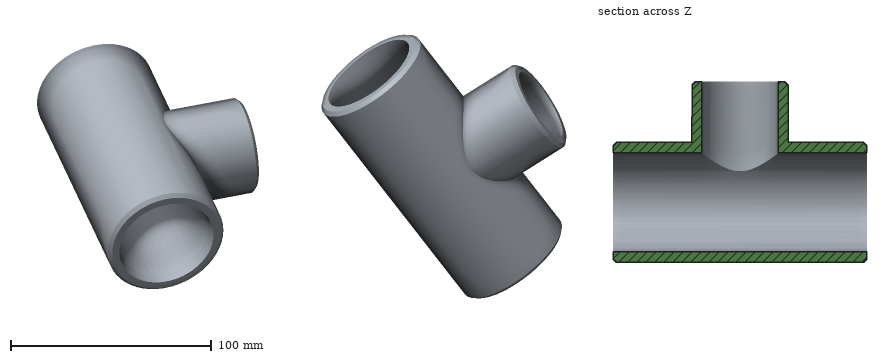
import cadquery as cq

run_length = 127.0
run_diameter = 60.33
run_wall = 5.54
branch_diameter = 48.26
branch_wall = 5.08
branch_reach = 60.445
bevel = 1.8

run_bore = run_diameter - 2 * run_wall
branch_bore = branch_diameter - 2 * branch_wall


def run_cylinder(diameter):
    """Cylinder along X, centred on the origin, over the full run length."""
    return cq.Workplane("YZ").circle(diameter / 2).extrude(run_length / 2, both=True)


def branch_cylinder(diameter):
    """Cylinder along +Y from the run axis to the branch end face."""
    return cq.Workplane("XZ").circle(diameter / 2).extrude(-branch_reach)


run_body = run_cylinder(run_diameter).faces("<X or >X").edges().chamfer(bevel)
branch_body = branch_cylinder(branch_diameter).faces(">Y").edges().chamfer(bevel)

result = (
    run_body.union(branch_body)
    .cut(run_cylinder(run_bore))
    .cut(branch_cylinder(branch_bore))
)